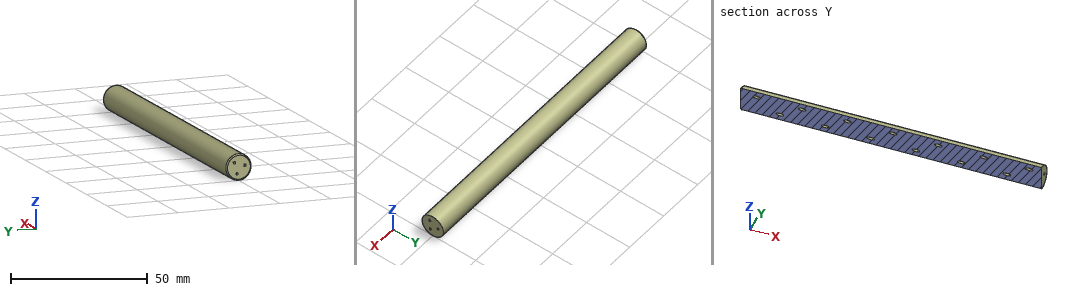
import cadquery as cq
import math

length = 120.0
diameter = 10.0
chamfer = 0.5

channel_count = 3
channel_diameter = 0.8
channel_circle_radius = 2.5
first_channel_angle = 46.0
helix_angle = 30.0
pitch = math.pi * diameter / math.tan(math.radians(helix_angle))
twist = 360.0 * length / pitch


def end_plane():
    """Workplane on the -X end face, with local X along +Y and local Y along +Z."""
    return cq.Workplane("YZ", origin=(-length / 2, 0, 0))


def make_bar():
    """Plain bar with its -X end chamfered."""
    bar = end_plane().circle(diameter / 2).extrude(length)
    return bar.faces("<X").edges().chamfer(chamfer)


def make_channel(angle):
    """Helical cutter about X that starts at the given angle in degrees."""
    y = channel_circle_radius * math.cos(math.radians(angle))
    z = channel_circle_radius * math.sin(math.radians(angle))
    return end_plane().moveTo(y, z).circle(channel_diameter / 2).twistExtrude(length, twist)


result = make_bar()
for index in range(channel_count):
    result = result.cut(make_channel(first_channel_angle + index * 360.0 / channel_count))